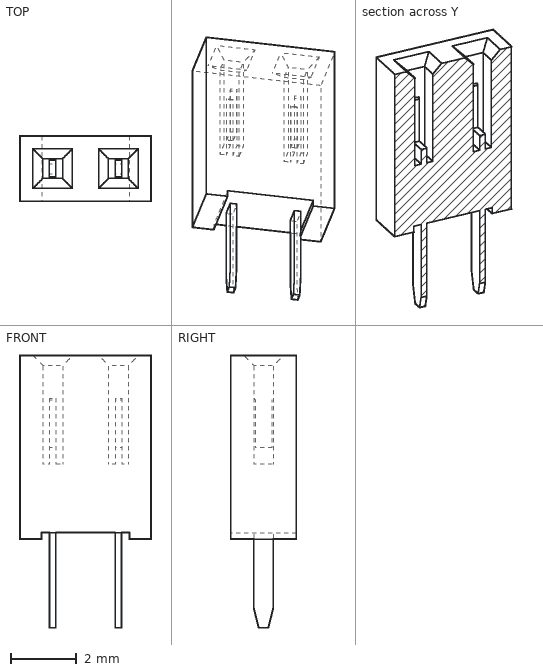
import cadquery as cq

CONTACT_COUNT = 2
PITCH = 2.0
HOUSING_LENGTH = CONTACT_COUNT * PITCH
HOUSING_WIDTH = 2.0
OVERALL_HEIGHT = 8.296
TAIL_REACH = 2.7
HOUSING_HEIGHT = OVERALL_HEIGHT - TAIL_REACH

FOOT_HEIGHT = 0.2
FOOT_LENGTH = PITCH / 3

FUNNEL_MOUTH = 1.2
THROAT_SIZE = 0.6
FUNNEL_DEPTH = (FUNNEL_MOUTH - THROAT_SIZE) / 2
THROAT_DEPTH = 3.0
THROAT_FLOOR_Z = HOUSING_HEIGHT - FUNNEL_DEPTH - THROAT_DEPTH

CONTACT_THICKNESS = 0.2
CONTACT_WIDTH = 0.6
TIP_WIDTH = CONTACT_WIDTH / 2
TIP_LENGTH = 0.6
PRONG_WIDTH = 0.05
PRONG_GAP = CONTACT_WIDTH - 2 * PRONG_WIDTH
PRONG_TOP_BELOW_THROAT_TOP = 1.0
PRONG_TOP_Z = HOUSING_HEIGHT - FUNNEL_DEPTH - PRONG_TOP_BELOW_THROAT_TOP
PRONG_LEAD_IN_DROP = PRONG_WIDTH
FORK_ROOT_HEIGHT = 0.5
FORK_ROOT_Z = THROAT_FLOOR_Z + FORK_ROOT_HEIGHT


def contact_positions():
    first_x = -(CONTACT_COUNT - 1) * PITCH / 2
    return [first_x + index * PITCH for index in range(CONTACT_COUNT)]


def make_housing():
    block = cq.Workplane("XY").box(
        HOUSING_LENGTH, HOUSING_WIDTH, HOUSING_HEIGHT, centered=(True, True, False)
    )
    clearance = cq.Workplane("XY").box(
        HOUSING_LENGTH - 2 * FOOT_LENGTH, HOUSING_WIDTH, FOOT_HEIGHT, centered=(True, True, False)
    )
    return block.cut(clearance)


def make_socket(x):
    funnel = (
        cq.Workplane("XY", origin=(x, 0, HOUSING_HEIGHT))
        .rect(FUNNEL_MOUTH, FUNNEL_MOUTH)
        .workplane(offset=-FUNNEL_DEPTH)
        .rect(THROAT_SIZE, THROAT_SIZE)
        .loft(ruled=True)
    )
    throat = (
        cq.Workplane("XY", origin=(x, 0, THROAT_FLOOR_Z))
        .rect(THROAT_SIZE, THROAT_SIZE)
        .extrude(THROAT_DEPTH)
    )
    return funnel.union(throat)


def make_contact(x):
    """Fork and pin tail in one flat piece, symmetric about Y = 0 and centred on x."""
    half_outline = [
        (PRONG_GAP / 2, FORK_ROOT_Z),
        (PRONG_GAP / 2, PRONG_TOP_Z - PRONG_LEAD_IN_DROP),
        (CONTACT_WIDTH / 2, PRONG_TOP_Z),
        (CONTACT_WIDTH / 2, -TAIL_REACH + TIP_LENGTH),
        (TIP_WIDTH / 2, -TAIL_REACH),
    ]
    other_half = [(-y, z) for y, z in reversed(half_outline)]
    return (
        cq.Workplane("YZ", origin=(x, 0, 0))
        .polyline(half_outline + other_half)
        .close()
        .extrude(CONTACT_THICKNESS / 2, both=True)
    )


result = make_housing()
for contact_x in contact_positions():
    result = result.cut(make_socket(contact_x))
    result = result.union(make_contact(contact_x))